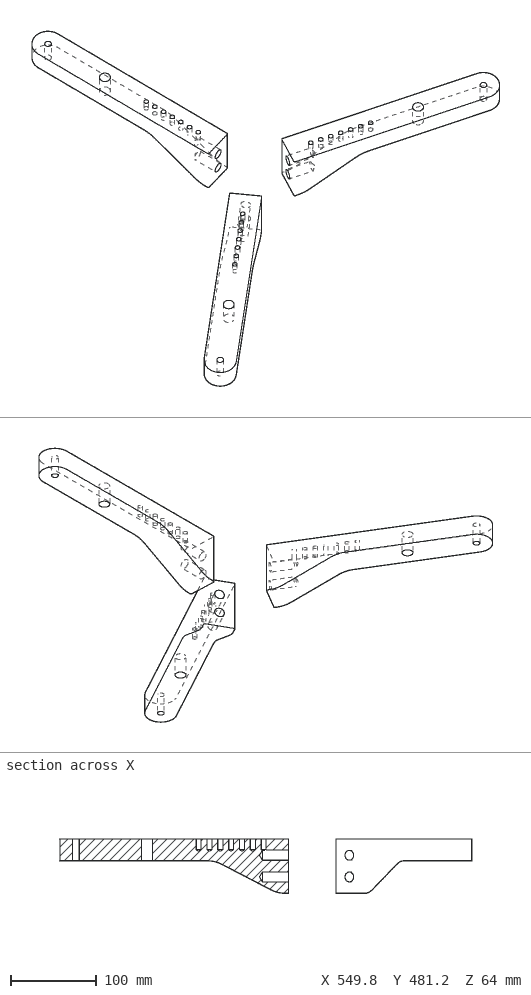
import cadquery as cq
import math

ARM_COUNT = 3
FIRST_ARM_ANGLE = 90.0
ROOT_DISTANCE = 47.0
TIP_DISTANCE = 314.5

ARM_WIDTH = 38.0
ARM_THICKNESS = 26.0
ROOT_HEIGHT = 64.0
ROOT_EDGE_RADIUS = 1.5

SIDE_Y = ARM_WIDTH / 2
TIP_BLEND_RADIUS = 27.5
TIP_BLEND_ANGLE = math.radians(7.0)
TIP_BLEND_OFFSET = TIP_BLEND_RADIUS - SIDE_Y
TIP_RADIUS = TIP_BLEND_RADIUS - TIP_BLEND_OFFSET / math.cos(TIP_BLEND_ANGLE)
TIP_END_X = TIP_DISTANCE - ROOT_DISTANCE
TIP_HOLE_X = TIP_END_X - TIP_RADIUS
TIP_BLEND_START_X = TIP_HOLE_X - TIP_BLEND_OFFSET * math.tan(TIP_BLEND_ANGLE)

FOOT_LENGTH = 12.5
SLOPE_RUN = 73.0
SLOPE_BLEND_RADIUS = 35.5

TIP_HOLE_DIAMETER = 7.5
BEAM_HOLE_DIAMETER = 12.5
BEAM_HOLE_FROM_TIP_HOLE = 83.0
PILOT_DIAMETER = 5.4
PILOT_COUNT = 7
PILOT_PITCH = 12.5
PILOT_FROM_ROOT = 29.0
PILOT_DEPTH = 12.5
BOLT_HOLE_DIAMETER = 11.5
BOLT_HOLE_SPACING = 25.5
BOLT_HOLE_DEPTH = 30.0
DRILL_POINT_ANGLE = 118.0


def tip_blend_point(angle, side):
    """Point on the blend arc of one side, at the given turn from the straight side."""
    x = TIP_BLEND_START_X + TIP_BLEND_RADIUS * math.sin(angle)
    y = TIP_BLEND_RADIUS * math.cos(angle) - TIP_BLEND_OFFSET
    return (x, side * y)


def side_profile():
    """Deep root and thin beam joined by a blended slope, extruded across the arm width."""
    beam_bottom = ROOT_HEIGHT - ARM_THICKNESS
    slope_end = FOOT_LENGTH + SLOPE_RUN
    profile = (
        cq.Workplane("XZ")
        .moveTo(0, 0)
        .lineTo(FOOT_LENGTH, 0)
        .lineTo(slope_end, beam_bottom)
        .lineTo(TIP_END_X, beam_bottom)
        .lineTo(TIP_END_X, ROOT_HEIGHT)
        .lineTo(0, ROOT_HEIGHT)
        .close()
        .extrude(SIDE_Y, both=True)
    )
    foot_corner = cq.selectors.NearestToPointSelector((FOOT_LENGTH, 0, 0))
    beam_corner = cq.selectors.NearestToPointSelector((slope_end, 0, beam_bottom))
    profile = profile.edges(foot_corner).fillet(SLOPE_BLEND_RADIUS)
    return profile.edges(beam_corner).fillet(SLOPE_BLEND_RADIUS)


def plan_outline():
    """Straight arm with a round tip, extruded over the full height."""
    half_turn = TIP_BLEND_ANGLE / 2
    return (
        cq.Workplane("XY")
        .moveTo(0, -SIDE_Y)
        .lineTo(TIP_BLEND_START_X, -SIDE_Y)
        .threePointArc(tip_blend_point(half_turn, -1), tip_blend_point(TIP_BLEND_ANGLE, -1))
        .threePointArc((TIP_END_X, 0), tip_blend_point(TIP_BLEND_ANGLE, 1))
        .threePointArc(tip_blend_point(half_turn, 1), (TIP_BLEND_START_X, SIDE_Y))
        .lineTo(0, SIDE_Y)
        .close()
        .extrude(ROOT_HEIGHT)
    )


def arm_blank():
    """Arm along +X with its root face at X = 0 and its underside at Z = 0."""
    blank = side_profile().intersect(plan_outline())
    return blank.edges("|Z and <X").fillet(ROOT_EDGE_RADIUS)


def drill(diameter, depth, start, direction):
    """Blind hole cutter: a cylinder of the given depth that ends in a drill point."""
    radius = diameter / 2
    point_length = radius / math.tan(math.radians(DRILL_POINT_ANGLE / 2))
    origin = cq.Vector(*start)
    axis = cq.Vector(*direction)
    shank = cq.Solid.makeCylinder(radius, depth, origin, axis)
    point = cq.Solid.makeCone(radius, 0, point_length, origin + axis * depth, axis)
    return shank.fuse(point)


def through_hole(diameter, x):
    """Vertical hole cutter on the arm axis, as tall as the whole arm."""
    return cq.Solid.makeCylinder(diameter / 2, ROOT_HEIGHT, cq.Vector(x, 0, 0))


def make_arm():
    arm = arm_blank()
    arm = arm.cut(through_hole(TIP_HOLE_DIAMETER, TIP_HOLE_X))
    arm = arm.cut(through_hole(BEAM_HOLE_DIAMETER, TIP_HOLE_X - BEAM_HOLE_FROM_TIP_HOLE))
    for i in range(PILOT_COUNT):
        top_point = (PILOT_FROM_ROOT + i * PILOT_PITCH, 0, ROOT_HEIGHT)
        arm = arm.cut(drill(PILOT_DIAMETER, PILOT_DEPTH, top_point, (0, 0, -1)))
    for side in (-1, 1):
        root_point = (0, 0, ROOT_HEIGHT / 2 + side * BOLT_HOLE_SPACING / 2)
        arm = arm.cut(drill(BOLT_HOLE_DIAMETER, BOLT_HOLE_DEPTH, root_point, (1, 0, 0)))
    return arm


arms = []
for i in range(ARM_COUNT):
    angle = FIRST_ARM_ANGLE + i * 360 / ARM_COUNT
    placed = make_arm().translate((ROOT_DISTANCE, 0, 0)).rotate((0, 0, 0), (0, 0, 1), angle)
    arms.append(placed.val())

result = cq.Compound.makeCompound(arms)